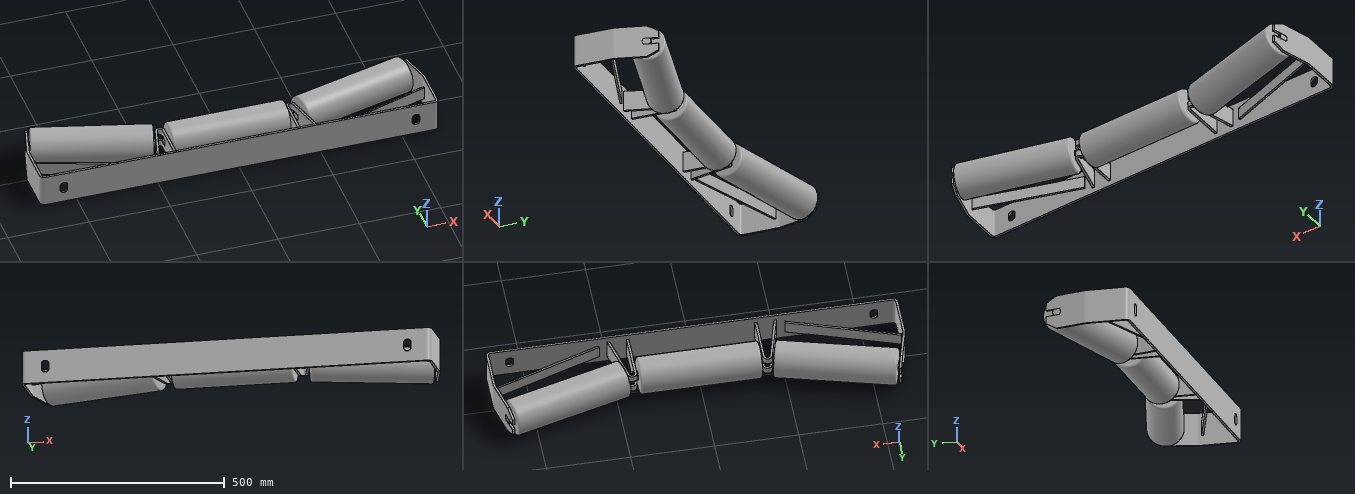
import cadquery as cq
import math

TILT = 15.0
COS_TILT = math.cos(math.radians(TILT))
SIN_TILT = math.sin(math.radians(TILT))
TAN_TILT = SIN_TILT / COS_TILT

PLATE = 6.0
PLATE_WIDTH = 80.0

ROLLER_RADIUS = 44.5
ROLLER_LENGTH = 290.0
ROLLER_EDGE_RADIUS = 5.0
END_CLEARANCE = 4.5
SHAFT_RADIUS = 10.5
SHAFT_FLATS = 15.0
SHAFT_LENGTH = ROLLER_LENGTH + 2 * (END_CLEARANCE + PLATE)
MIDDLE_ROLLER_HEIGHT = 100.0

FRAME_LENGTH = 980.0
FRAME_END_X = FRAME_LENGTH / 2
CORNER_RADIUS = 12.0
LEAN_START = 104.0
LEAN_RADIUS = 23.0
LEAN_TOP = 209.4
TIP_CHAMFER_ALONG = 28.0
TIP_CHAMFER_ACROSS = 15.0
MOUNT_SLOT_X = 433.0
MOUNT_SLOT_WIDTH = 18.0
MOUNT_SLOT_HEIGHT = 28.0

SHAFT_END_HEIGHT = 181.72
LEAN_ARC_X = -FRAME_END_X + LEAN_RADIUS * (1 - COS_TILT)
LEAN_ARC_Y = LEAN_START + LEAN_RADIUS * SIN_TILT
SHAFT_END_X = LEAN_ARC_X + (SHAFT_END_HEIGHT - LEAN_ARC_Y) * TAN_TILT
SIDE_ROLLER_X = SHAFT_END_X + SHAFT_LENGTH / 2 * COS_TILT
SIDE_ROLLER_Y = SHAFT_END_HEIGHT - SHAFT_LENGTH / 2 * SIN_TILT

ROLLER_PLACES = [
    (SIDE_ROLLER_X, SIDE_ROLLER_Y, -TILT),
    (0.0, MIDDLE_ROLLER_HEIGHT, 0.0),
    (-SIDE_ROLLER_X, SIDE_ROLLER_Y, TILT),
]

BRACKET_WIDTH = 50.0
BRACKET_INNER_RADIUS = 5.4
BRACKET_OUTER_RADIUS = BRACKET_INNER_RADIUS + PLATE
FOLD_X = -SHAFT_LENGTH / 2 + PLATE - BRACKET_OUTER_RADIUS
INNER_SHAFT_END_X = SIDE_ROLLER_X + SHAFT_LENGTH / 2 * COS_TILT
INNER_SHAFT_END_Y = SIDE_ROLLER_Y - SHAFT_LENGTH / 2 * SIN_TILT
FOLD_Y = INNER_SHAFT_END_Y + (FOLD_X - BRACKET_INNER_RADIUS / COS_TILT - INNER_SHAFT_END_X) / TAN_TILT

STRUT_WIDTH = 32.0
STRUT_THICKNESS = 5.0
STRUT_FOOT_X = -222.0
STRUT_HEAD_X = -FRAME_END_X + PLATE
STRUT_HEAD_Y = 92.6


def place(body, x, y, angle):
    return body.rotate((0, 0, 0), (0, 0, 1), angle).translate((x, y, 0))


def mirrored(body):
    return body.mirror("YZ")


def shaft_section(length):
    """Round shaft along X with two flats facing +Z and -Z."""
    bar = cq.Workplane("YZ", origin=(-length / 2, 0, 0)).circle(SHAFT_RADIUS).extrude(length)
    return bar.intersect(cq.Workplane().box(length, 2 * SHAFT_RADIUS, SHAFT_FLATS))


def make_roller():
    start = (-ROLLER_LENGTH / 2, 0, 0)
    shell = cq.Workplane("YZ", origin=start).circle(ROLLER_RADIUS).extrude(ROLLER_LENGTH)
    shell = shell.faces("<X or >X").edges().fillet(ROLLER_EDGE_RADIUS)
    return shell.union(shaft_section(SHAFT_LENGTH))


def shaft_seat():
    """Cutter for the slots that receive a shaft: the shaft plus its path up and out."""
    mouth_height = 2 * ROLLER_RADIUS
    mouth = cq.Workplane().box(SHAFT_LENGTH, mouth_height, SHAFT_FLATS, centered=(True, False, True))
    return shaft_section(SHAFT_LENGTH).union(mouth)


def cut_seats(body):
    for x, y, angle in ROLLER_PLACES:
        body = body.cut(place(shaft_seat(), x, y, angle))
    return body


def make_frame():
    inner_corner = CORNER_RADIUS - PLATE
    inner_lean = LEAN_RADIUS - PLATE
    corner_x = -FRAME_END_X + CORNER_RADIUS
    lean_x = -FRAME_END_X + LEAN_RADIUS
    half_angle = math.radians(TILT / 2)
    diagonal = math.sqrt(0.5)

    def corner_point(radius):
        return (corner_x - radius * diagonal, CORNER_RADIUS - radius * diagonal)

    def lean_point(radius, angle):
        return (lean_x - radius * math.cos(angle), LEAN_START + radius * math.sin(angle))

    tip_x = LEAN_ARC_X + (LEAN_TOP - LEAN_ARC_Y) * TAN_TILT
    half = (
        cq.Workplane("XY")
        .moveTo(0, 0)
        .lineTo(corner_x, 0)
        .threePointArc(corner_point(CORNER_RADIUS), (-FRAME_END_X, CORNER_RADIUS))
        .lineTo(-FRAME_END_X, LEAN_START)
        .threePointArc(lean_point(LEAN_RADIUS, half_angle), (LEAN_ARC_X, LEAN_ARC_Y))
        .lineTo(tip_x, LEAN_TOP)
        .lineTo(tip_x + PLATE * COS_TILT, LEAN_TOP - PLATE * SIN_TILT)
        .lineTo(*lean_point(inner_lean, 2 * half_angle))
        .threePointArc(lean_point(inner_lean, half_angle), (-FRAME_END_X + PLATE, LEAN_START))
        .lineTo(-FRAME_END_X + PLATE, CORNER_RADIUS)
        .threePointArc(corner_point(inner_corner), (corner_x, PLATE))
        .lineTo(0, PLATE)
        .close()
        .extrude(PLATE_WIDTH / 2, both=True)
    )

    corner = (
        cq.Workplane("YZ")
        .moveTo(0, PLATE_WIDTH / 2)
        .lineTo(-TIP_CHAMFER_ALONG, PLATE_WIDTH / 2)
        .lineTo(0, PLATE_WIDTH / 2 - TIP_CHAMFER_ACROSS)
        .close()
        .extrude(PLATE)
    )
    for cutter in (corner, corner.mirror("XY")):
        half = half.cut(place(cutter, tip_x, LEAN_TOP, -TILT))

    mount_slot = (
        cq.Workplane("XZ")
        .center(-MOUNT_SLOT_X, 0)
        .slot2D(MOUNT_SLOT_HEIGHT, MOUNT_SLOT_WIDTH, 90)
        .extrude(-PLATE)
    )
    half = half.cut(mount_slot)
    return cut_seats(half.union(mirrored(half)))


def make_bracket():
    def leg_top(radius):
        return (FOLD_X - radius * COS_TILT, FOLD_Y + radius * SIN_TILT)

    def leg_foot(radius):
        x, y = leg_top(radius)
        return (x - (y - PLATE) * TAN_TILT, PLATE)

    def crown(radius):
        return (FOLD_X, FOLD_Y + radius)

    bracket = (
        cq.Workplane("XY")
        .moveTo(*leg_foot(BRACKET_OUTER_RADIUS))
        .lineTo(*leg_top(BRACKET_OUTER_RADIUS))
        .threePointArc(crown(BRACKET_OUTER_RADIUS), (FOLD_X + BRACKET_OUTER_RADIUS, FOLD_Y))
        .lineTo(FOLD_X + BRACKET_OUTER_RADIUS, PLATE)
        .lineTo(FOLD_X + BRACKET_INNER_RADIUS, PLATE)
        .lineTo(FOLD_X + BRACKET_INNER_RADIUS, FOLD_Y)
        .threePointArc(crown(BRACKET_INNER_RADIUS), leg_top(BRACKET_INNER_RADIUS))
        .lineTo(*leg_foot(BRACKET_INNER_RADIUS))
        .close()
        .extrude(BRACKET_WIDTH / 2, both=True)
    )
    fold_gap = cq.Workplane().box(
        2 * BRACKET_OUTER_RADIUS, 2 * BRACKET_OUTER_RADIUS, SHAFT_FLATS, centered=(True, False, True)
    )
    return cut_seats(bracket.cut(fold_gap.translate((FOLD_X, FOLD_Y, 0))))


def make_strut():
    """Flat bar from the base plate up to the frame end; its lower edges touch both."""
    run = STRUT_FOOT_X - STRUT_HEAD_X
    drop = STRUT_HEAD_Y - PLATE
    slope = math.degrees(math.atan2(drop, run))
    bar = cq.Workplane().box(math.hypot(run, drop), STRUT_THICKNESS, STRUT_WIDTH, centered=(False, False, True))
    return place(bar, STRUT_HEAD_X, STRUT_HEAD_Y, -slope)


frame = make_frame()
bracket = make_bracket()
strut = make_strut()
rollers = [place(make_roller(), *spot) for spot in ROLLER_PLACES]

result = cq.Compound.makeCompound(
    [
        frame.val(),
        bracket.val(),
        mirrored(bracket).val(),
        strut.val(),
        mirrored(strut).val(),
        *[roller.val() for roller in rollers],
    ]
)